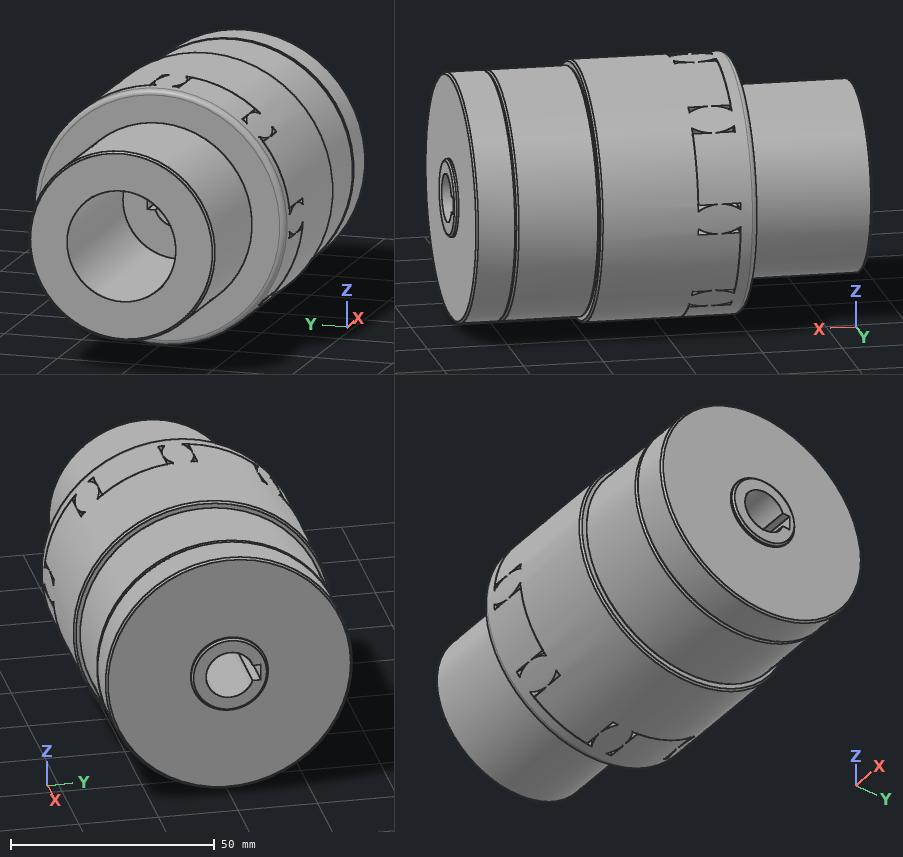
import cadquery as cq
import math


collar_start = 30.6
jaw_gap_start = 34.9
jaw_gap_end = 45.5
collar_end = 70.0
ring_start = 90.8
ring_end = 101.0
total_length = 102.0

hub_radius = 47.9 / 2
collar_radius = 65.0 / 2
body_radius = 62.0 / 2
boss_radius = 19.4 / 2

edge_chamfer = 0.5
collar_fillet = 1.4

hub_bore_radius = 28.0 / 2
shaft_bore_radius = 12.0 / 2
key_width = 4.1
key_reach = 7.8

tooth_count = 8
jaw_inner_radius = 18.4
tooth_root_width = 4.5
tooth_slot_width = 7.5
tooth_press = 0.02
joint_gap = 0.1
cut_overrun = 1.0


def disc(start, end, radius):
    """Solid cylinder on the X axis between two stations."""
    return cq.Workplane("YZ", origin=(start, 0, 0)).circle(radius).extrude(end - start)


def turned_blank():
    """Stack of coaxial cylinders with their chamfered and rounded rims."""
    hub = disc(0, collar_start, hub_radius).faces("<X").edges().chamfer(edge_chamfer)
    collar = disc(collar_start, collar_end, collar_radius)
    collar = collar.faces("<X").edges().fillet(collar_fillet)
    collar = collar.faces(">X").edges().chamfer(edge_chamfer)
    body = disc(collar_end, ring_start, body_radius).edges().chamfer(edge_chamfer)
    ring = disc(ring_start, ring_end, body_radius).edges().chamfer(edge_chamfer)
    boss = disc(ring_end, total_length, boss_radius).faces(">X").edges().chamfer(edge_chamfer)
    return hub.union(collar).union(body).union(ring).union(boss)


def tooth_relief():
    """Four wedge pockets between one crowned spider tooth, centred on +Z, and its jaws."""
    half_slot = tooth_slot_width / 2
    half_root = tooth_root_width / 2
    half_length = (jaw_gap_end - jaw_gap_start) / 2
    crown_rise = half_slot + tooth_press - half_root
    crown_radius = (half_length**2 + crown_rise**2) / (2 * crown_rise)
    crown_centre = half_root + crown_rise - crown_radius
    contact = math.sqrt(crown_radius**2 - (half_slot - crown_centre) ** 2)
    arc_x = (half_length + contact) / 2
    arc_y = crown_centre + math.sqrt(crown_radius**2 - arc_x**2)

    gap_middle = (jaw_gap_start + jaw_gap_end) / 2
    base = cq.Workplane("XY", origin=(gap_middle, 0, jaw_inner_radius))
    wedge = (
        base.moveTo(-half_length, half_root)
        .lineTo(-half_length, half_slot)
        .lineTo(-contact, half_slot)
        .threePointArc((-arc_x, arc_y), (-half_length, half_root))
        .close()
        .extrude(collar_radius + cut_overrun - jaw_inner_radius)
    )
    pair = wedge.union(wedge.mirror("XZ"))
    return pair.union(pair.mirror("YZ", (gap_middle, 0, 0)))


def tip_joint(station):
    """Thin clearance across one jaw tip, the jaw being centred on +Z."""
    tooth_angle = math.asin(tooth_slot_width / 2 / collar_radius)
    half_angle = math.pi / tooth_count - tooth_angle
    outer = collar_radius + cut_overrun
    half_width = outer * math.tan(half_angle)
    sector = (
        cq.Workplane("YZ", origin=(station - joint_gap / 2, 0, 0))
        .polyline([(0, 0), (half_width, outer), (-half_width, outer)])
        .close()
        .extrude(joint_gap)
    )
    return sector.cut(disc(0, total_length, jaw_inner_radius))


def turn(shape, angle):
    return shape.rotate((0, 0, 0), (1, 0, 0), angle)


result = turned_blank()

pitch = 360 / tooth_count
for index in range(tooth_count):
    result = result.cut(turn(tooth_relief(), index * pitch))
    tip_station = jaw_gap_end if index % 2 == 0 else jaw_gap_start
    result = result.cut(turn(tip_joint(tip_station), (index + 0.5) * pitch))

result = result.cut(disc(0, jaw_gap_end, hub_bore_radius))
result = result.cut(disc(0, total_length, shaft_bore_radius))
keyway = cq.Workplane("XY").box(total_length, key_reach, key_width, centered=(False, False, True))
result = result.cut(keyway)